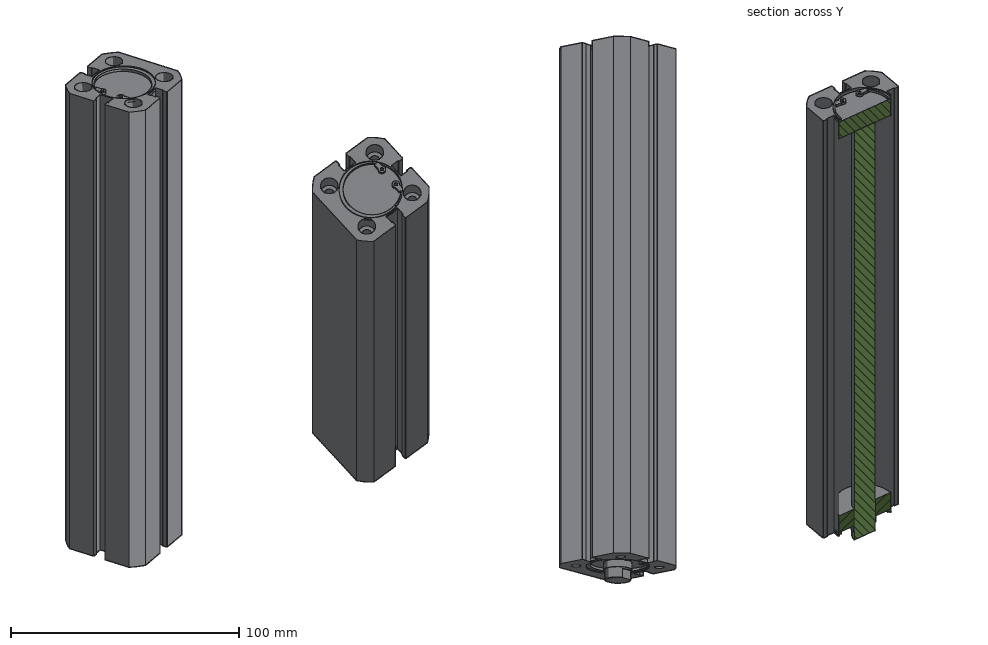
import cadquery as cq
import math

TOTAL_LENGTH = 239.0
WIDTH = 41.0
CORNER_RADIUS = 25.5

ROD_RADIUS = 5.7
ROD_FLAT_DISTANCE = 5.0
ROD_FLAT_LENGTH = 4.0
ROD_TIP_CHAMFER = 0.2
ROD_PROTRUSION = 6.2

HOUSING_BOTTOM = ROD_PROTRUSION
HOUSING_TOP = TOTAL_LENGTH
HOUSING_LENGTH = HOUSING_TOP - HOUSING_BOTTOM
BORE_RADIUS = 13.9

SLOT_MOUTH_WIDTH = 5.5
SLOT_INNER_WIDTH = 6.5
SLOT_MOUTH_CHAMFER = 0.2
SLOT_LIP_DEPTH = 2.5
SLOT_WALL = 0.6
SLOT_FLOOR_DISTANCE = BORE_RADIUS + SLOT_WALL
SLOT_ANGLES = (0, 180, 270)

BOLT_OFFSET = 13.0
BOLT_RADIUS = 2.03
COUNTERBORE_RADIUS = 3.8
COUNTERBORE_DEPTH = 7.2

RING_OUTER_RADIUS = 14.3
RING_INNER_RADIUS = 12.7
RING_INNER_OFFSET = 0.7
RING_THICKNESS = 1.2
RING_INSET = 0.6
ARM_TOP_Y = -9.0
ARM_BOTTOM_Y = -11.5
LUG_X = 4.8
LUG_Y = (ARM_TOP_Y + ARM_BOTTOM_Y) / 2
LUG_RADIUS = 1.7
LUG_HOLE_RADIUS = 0.7

PLUG_INSET = RING_INSET + RING_THICKNESS
PLUG_LENGTH = 9.5
COVER_BOSS_RADIUS = 6.2
COVER_BOSS_PROTRUSION = 1.5


def cylinder(radius, bottom, top):
    return cq.Workplane("XY").workplane(offset=bottom).circle(radius).extrude(top - bottom)


def make_ring(bottom):
    """C-shaped retaining ring, open on the -Y side, with a drilled lug at each end."""
    top = bottom + RING_THICKNESS
    inside = cylinder(RING_INNER_RADIUS, bottom, top).translate((0, -RING_INNER_OFFSET, 0))
    ring = cylinder(RING_OUTER_RADIUS, bottom, top).cut(inside)

    plane = cq.Workplane("XY").workplane(offset=bottom)
    gap = (
        plane.center(0, ARM_BOTTOM_Y - RING_OUTER_RADIUS / 2)
        .rect(2 * RING_OUTER_RADIUS, RING_OUTER_RADIUS)
        .extrude(RING_THICKNESS)
    )
    ring = ring.cut(gap)

    arm_outer_x = math.sqrt(RING_OUTER_RADIUS**2 - ARM_BOTTOM_Y**2)
    for side in (-1, 1):
        arm = (
            plane.center(side * (LUG_X + arm_outer_x) / 2, LUG_Y)
            .rect(arm_outer_x - LUG_X, ARM_TOP_Y - ARM_BOTTOM_Y)
            .extrude(RING_THICKNESS)
        )
        lug_centre = (side * LUG_X, LUG_Y, 0)
        lug = cylinder(LUG_RADIUS, bottom, top).translate(lug_centre)
        lug_hole = cylinder(LUG_HOLE_RADIUS, bottom, top).translate(lug_centre)
        ring = ring.union(arm).union(lug).cut(lug_hole)
    return ring


def make_slot():
    """Undercut slot on the +X side, running the full length of the housing."""
    face = WIDTH / 2
    lip = face - SLOT_LIP_DEPTH
    mouth = SLOT_MOUTH_WIDTH / 2
    inner = SLOT_INNER_WIDTH / 2
    outline = [
        (face, mouth + SLOT_MOUTH_CHAMFER),
        (face - SLOT_MOUTH_CHAMFER, mouth),
        (lip, mouth),
        (lip, inner),
        (SLOT_FLOOR_DISTANCE, inner),
    ]
    outline += [(x, -y) for x, y in reversed(outline)]
    plane = cq.Workplane("XY").workplane(offset=HOUSING_BOTTOM)
    return plane.polyline(outline).close().extrude(HOUSING_LENGTH)


def make_housing(rings):
    """Square profile with rounded corners, bored through and recessed for the rings."""
    plane = cq.Workplane("XY").workplane(offset=HOUSING_BOTTOM)
    housing = plane.rect(WIDTH, WIDTH).extrude(HOUSING_LENGTH)
    housing = housing.intersect(cylinder(CORNER_RADIUS, HOUSING_BOTTOM, HOUSING_TOP))
    housing = housing.cut(cylinder(BORE_RADIUS, HOUSING_BOTTOM, HOUSING_TOP))
    for angle in SLOT_ANGLES:
        housing = housing.cut(make_slot().rotate((0, 0, 0), (0, 0, 1), angle))
    bolt = cylinder(BOLT_RADIUS, HOUSING_BOTTOM, HOUSING_TOP).union(
        cylinder(COUNTERBORE_RADIUS, HOUSING_TOP - COUNTERBORE_DEPTH, HOUSING_TOP)
    )
    for x in (-BOLT_OFFSET, BOLT_OFFSET):
        for y in (-BOLT_OFFSET, BOLT_OFFSET):
            housing = housing.cut(bolt.translate((x, y, 0)))
    for ring in rings:
        housing = housing.cut(ring)
    return housing


def make_end_cap():
    top = HOUSING_TOP - PLUG_INSET
    return cylinder(BORE_RADIUS, top - PLUG_LENGTH, top)


def make_rod_cover():
    """Disc closing the bottom of the bore, with a boss around the rod."""
    bottom = HOUSING_BOTTOM + PLUG_INSET
    top = bottom + PLUG_LENGTH
    boss_end = HOUSING_BOTTOM - COVER_BOSS_PROTRUSION
    cover = cylinder(BORE_RADIUS, bottom, top).union(cylinder(COVER_BOSS_RADIUS, boss_end, bottom))
    return cover.cut(cylinder(ROD_RADIUS, boss_end, top))


def make_rod():
    """Round rod from its tip up to the end cap, with two wrench flats facing -Y and +Y."""
    top = HOUSING_TOP - PLUG_INSET - PLUG_LENGTH
    rod = cylinder(ROD_RADIUS, 0, top).faces("<Z").chamfer(ROD_TIP_CHAMFER)
    for side in (-1, 1):
        flat = (
            cq.Workplane("XY")
            .center(0, side * (ROD_FLAT_DISTANCE + ROD_RADIUS / 2))
            .rect(2 * ROD_RADIUS, ROD_RADIUS)
            .extrude(ROD_FLAT_LENGTH)
        )
        rod = rod.cut(flat)
    return rod


ring_bottoms = (HOUSING_BOTTOM + RING_INSET, HOUSING_TOP - RING_INSET - RING_THICKNESS)
rings = [make_ring(bottom) for bottom in ring_bottoms]
housing = make_housing(rings)
end_cap = make_end_cap()
rod_cover = make_rod_cover()
rod = make_rod()

result = cq.Compound.makeCompound(
    [housing.val(), end_cap.val(), rod_cover.val(), rod.val(), *[ring.val() for ring in rings]]
)